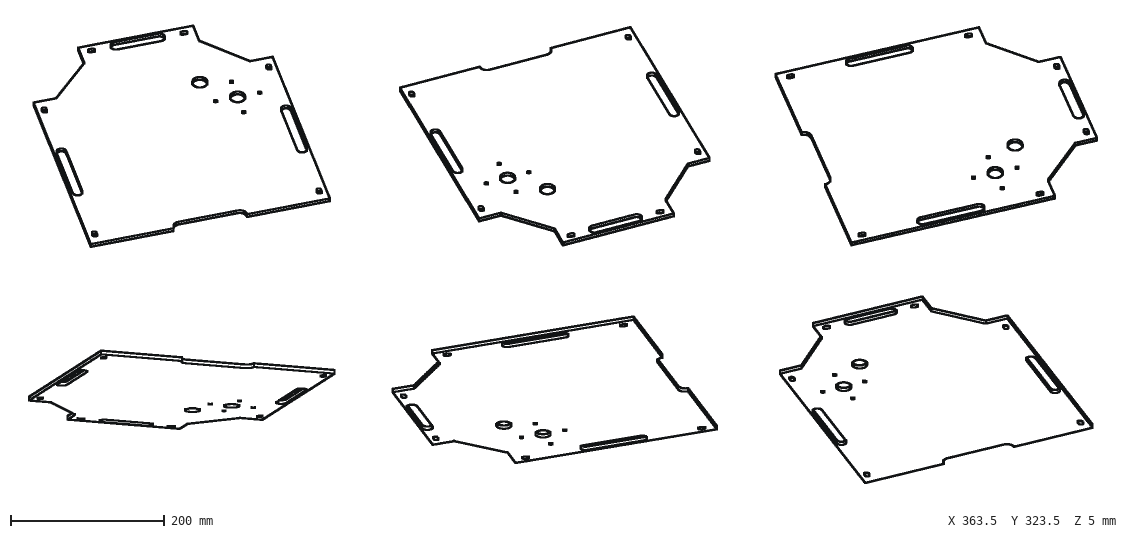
import cadquery as cq

length = 363.5
width = 323.5
thickness = 5.0
shoulder_x = 84.7
shoulder_half_width = 131.3
tab_length = 29.8
tab_half_width = 77.8

notch_depth = 10.0
notch_width = 99.5
notch_radius = 9.8

edge_offset = 9.8
side_handle_length = 91.5
side_handle_width = 13.0
tab_handle_length = 73.5
tab_handle_width = 14.0
fixing_length = 9.5
fixing_width = 6.0
fixing_spacing_x = 244.0
tab_fixing_y = 62.5

large_diameter = 20.0
ring_center = (145.8, 97.5)
large_hole_step = 40.0
ring_radius = 29.8
small_diameter = 4.5
small_hole_count = 4

half_width = width / 2
body_center_x = (shoulder_x + length) / 2
side_slot_y = half_width - edge_offset


def make_plate():
    """Plate with a narrow tab joined to the body by sloping shoulders."""
    upper = [
        (0, tab_half_width),
        (tab_length, tab_half_width),
        (shoulder_x, shoulder_half_width),
        (shoulder_x, half_width),
        (length, half_width),
    ]
    lower = [(x, -y) for x, y in reversed(upper)]
    return cq.Workplane("XY").polyline(upper + lower).close().extrude(thickness)


def make_notch():
    """Edge notch with rounded inner corners."""
    block = cq.Workplane("XY").box(2 * notch_depth, notch_width, thickness, centered=(True, True, False))
    return block.edges("|Z and <X").fillet(notch_radius).translate((length, 0, 0))


def make_slots(centers, slot_length, slot_width, angle=0):
    return cq.Workplane("XY").pushPoints(centers).slot2D(slot_length, slot_width, angle).extrude(thickness)


def make_holes(centers, diameter):
    return cq.Workplane("XY").pushPoints(centers).circle(diameter / 2).extrude(thickness)


def make_hole_ring():
    ring = cq.Workplane("XY").center(*ring_center)
    ring = ring.polarArray(ring_radius, 0, 360, small_hole_count)
    return ring.circle(small_diameter / 2).extrude(thickness)


side_handles = [(body_center_x, side * side_slot_y) for side in (-1, 1)]
corner_fixings = [
    (body_center_x + end * fixing_spacing_x / 2, side * side_slot_y)
    for end in (-1, 1)
    for side in (-1, 1)
]
tab_fixings = [(edge_offset, side * tab_fixing_y) for side in (-1, 1)]
large_holes = [
    ring_center,
    (ring_center[0] - large_hole_step, ring_center[1] - large_hole_step),
]

result = (
    make_plate()
    .cut(make_notch())
    .cut(make_slots(side_handles, side_handle_length, side_handle_width))
    .cut(make_slots([(edge_offset, 0)], tab_handle_length, tab_handle_width, 90))
    .cut(make_slots(corner_fixings, fixing_length, fixing_width))
    .cut(make_slots(tab_fixings, fixing_length, fixing_width, 90))
    .cut(make_holes(large_holes, large_diameter))
    .cut(make_hole_ring())
)